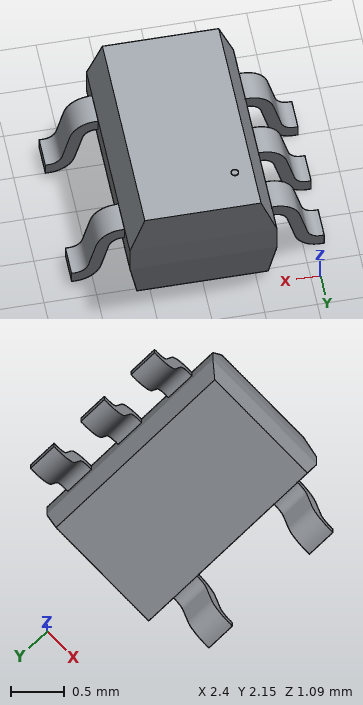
import cadquery as cq
import math

housing_width = 1.397
housing_length = 2.15
housing_height = 1.08
belt_bottom = 0.405
belt_top = 0.686
top_inset_x = 0.146
top_inset_y = 0.026
bottom_inset_x = 0.075
bottom_inset_y = 0.048

marker_diameter = 0.07
marker_height = 0.01
marker_x = -0.38
marker_y = 0.653

lead_span = 2.4
lead_pitch = 0.65
lead_width = 0.305
lead_thickness = 0.125
lead_top = 0.672
inner_bend_radius = 0.125
shoulder_flat = 0.03
leg_lean = 15.0

left_rows = (-1, 0, 1)
right_rows = (-1, 1)


def make_tapered_half(start_z, end_z, inset_x, inset_y):
    """Frustum from the full belt outline to an outline inset on every side."""
    return (
        cq.Workplane("XY")
        .workplane(offset=start_z)
        .rect(housing_width, housing_length)
        .workplane(offset=end_z - start_z)
        .rect(housing_width - 2 * inset_x, housing_length - 2 * inset_y)
        .loft(ruled=True)
    )


def make_housing():
    belt = (
        cq.Workplane("XY")
        .workplane(offset=belt_bottom)
        .rect(housing_width, housing_length)
        .extrude(belt_top - belt_bottom)
    )
    upper_half = make_tapered_half(belt_top, housing_height, top_inset_x, top_inset_y)
    lower_half = make_tapered_half(belt_bottom, 0, bottom_inset_x, bottom_inset_y)
    return belt.union(upper_half).union(lower_half)


def make_marker():
    return (
        cq.Workplane("XY")
        .workplane(offset=housing_height)
        .center(marker_x, marker_y)
        .circle(marker_diameter / 2)
        .extrude(marker_height)
    )


def make_right_lead():
    """Lead on the +X side, centred on Y = 0, with its shoulder against the belt."""
    outer_bend_radius = inner_bend_radius + lead_thickness
    bend_angle = math.radians(90 - leg_lean)

    shoulder_x = housing_width / 2 + shoulder_flat
    shoulder_z = lead_top - outer_bend_radius
    foot_z = outer_bend_radius
    bend_radii = inner_bend_radius + outer_bend_radius
    leg_drop = shoulder_z - foot_z + bend_radii * math.cos(bend_angle)
    leg_run = leg_drop * math.tan(math.radians(leg_lean))
    foot_x = shoulder_x + bend_radii * math.sin(bend_angle) + leg_run

    def on_shoulder(radius, angle):
        return shoulder_x + radius * math.sin(angle), shoulder_z + radius * math.cos(angle)

    def on_foot(radius, angle):
        return foot_x - radius * math.sin(angle), foot_z - radius * math.cos(angle)

    profile = (
        cq.Workplane("XZ")
        .moveTo(housing_width / 2, lead_top)
        .lineTo(*on_shoulder(outer_bend_radius, 0))
        .threePointArc(
            on_shoulder(outer_bend_radius, bend_angle / 2),
            on_shoulder(outer_bend_radius, bend_angle),
        )
        .lineTo(*on_foot(inner_bend_radius, bend_angle))
        .threePointArc(
            on_foot(inner_bend_radius, bend_angle / 2),
            on_foot(inner_bend_radius, 0),
        )
        .lineTo(lead_span / 2, lead_thickness)
        .lineTo(lead_span / 2, 0)
        .lineTo(*on_foot(outer_bend_radius, 0))
        .threePointArc(
            on_foot(outer_bend_radius, bend_angle / 2),
            on_foot(outer_bend_radius, bend_angle),
        )
        .lineTo(*on_shoulder(inner_bend_radius, bend_angle))
        .threePointArc(
            on_shoulder(inner_bend_radius, bend_angle / 2),
            on_shoulder(inner_bend_radius, 0),
        )
        .lineTo(housing_width / 2, lead_top - lead_thickness)
        .close()
    )
    return profile.extrude(lead_width / 2, both=True)


def make_leads():
    right_lead = make_right_lead()
    left_lead = right_lead.mirror("YZ")
    leads = []
    for lead, rows in ((left_lead, left_rows), (right_lead, right_rows)):
        for row in rows:
            leads.append(lead.translate((0, row * lead_pitch, 0)).val())
    return leads


housing = make_housing()
marker = make_marker()
leads = make_leads()

result = cq.Compound.makeCompound([housing.val(), marker.val(), *leads])